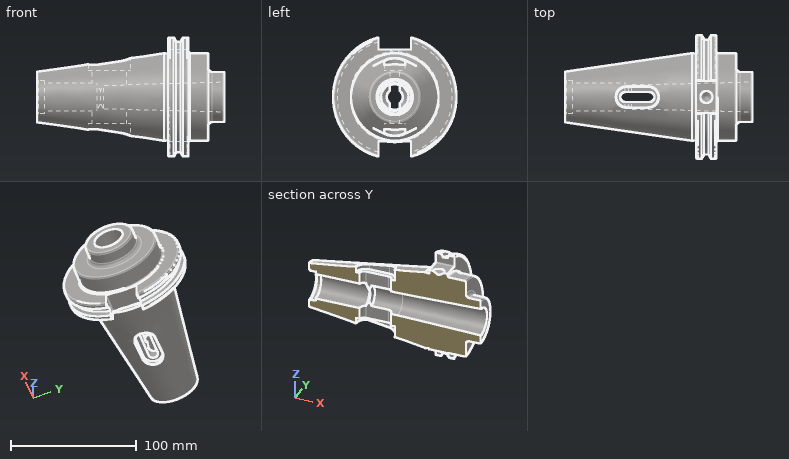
import cadquery as cq
import math

total_length = 149.4

taper_length = 101.3
taper_large_diameter = 69.9
taper_ratio = 7 / 24
taper_small_diameter = taper_large_diameter - taper_length * taper_ratio
taper_end_fillet = 0.9
neck_diameter = 69.3
neck_start = 102.6
neck_root_fillet = 0.5

flange_start = 104.4
flange_end = 120.7
flange_diameter = 98.4
flange_fillet = 1.3
groove_floor_diameter = 91.5
groove_floor_width = 3.5
groove_flank_angle = 30.0
groove_center = (flange_start + flange_end) / 2

body_end = 136.4
body_diameter = 69.9
body_fillet = 1.0
spigot_diameter = 40.0
spigot_root_fillet = 3.0
spigot_end_fillet = 1.3

drive_slot_width = 25.7
upper_slot_floor = 37.8
lower_slot_floor = 35.2
drive_slot_fillet = 0.5
land_chamfer = 0.6
dimple_diameter = 9.5

entry_diameter = 26.1
entry_depth = 6.0
entry_chamfer = 1.3
draw_bore_diameter = 22.0
draw_bore_depth = 47.8

socket_mouth_diameter = 23.9
socket_diameter = 20.2
socket_taper_length = 72.3

drill_point_angle = 118.0
breakthrough_diameter = 12.5

cross_slot_center = 57.6
cross_slot_length = 27.2
cross_slot_width = 7.6
pocket_length = 33.5
pocket_width = 16.3
pocket_floor = 21.2
pocket_chamfer = 0.5

pick_margin = 0.1


def drill_point_length(diameter):
    return diameter / 2 / math.tan(math.radians(drill_point_angle / 2))


def revolve_about_x(profile):
    return profile.close().revolve(360, (0, 0, 0), (1, 0, 0))


def make_outer_body():
    """Outer taper, neck, flange, body and spigot in one revolved solid."""
    flange_radius = flange_diameter / 2
    groove_floor_radius = groove_floor_diameter / 2
    floor_half = groove_floor_width / 2
    flank_run = (flange_radius - groove_floor_radius) * math.tan(math.radians(groove_flank_angle))
    mouth_half = floor_half + flank_run
    profile = (
        cq.Workplane("XY")
        .moveTo(0, 0)
        .lineTo(0, taper_small_diameter / 2)
        .lineTo(taper_length, taper_large_diameter / 2)
        .lineTo(neck_start, neck_diameter / 2)
        .lineTo(flange_start, neck_diameter / 2)
        .lineTo(flange_start, flange_radius)
        .lineTo(groove_center - mouth_half, flange_radius)
        .lineTo(groove_center - floor_half, groove_floor_radius)
        .lineTo(groove_center + floor_half, groove_floor_radius)
        .lineTo(groove_center + mouth_half, flange_radius)
        .lineTo(flange_end, flange_radius)
        .lineTo(flange_end, body_diameter / 2)
        .lineTo(body_end, body_diameter / 2)
        .lineTo(body_end, spigot_diameter / 2)
        .lineTo(total_length, spigot_diameter / 2)
        .lineTo(total_length, 0)
    )
    return revolve_about_x(profile)


def box_around_circle(x, reach):
    """Selector for whole edges near the given X that stay within reach of the axis."""
    return cq.selectors.BoxSelector(
        (x - pick_margin, -reach, -reach), (x + pick_margin, reach, reach), boundingbox=True
    )


def fillet_circle(solid, x, diameter, fillet):
    """Round the circular edge of the given diameter that lies at the given X."""
    outer_box = box_around_circle(x, diameter / 2 + pick_margin)
    inner_box = box_around_circle(x, diameter / 2 - pick_margin)
    return solid.edges(outer_box - inner_box).fillet(fillet)


def make_bores():
    """Stepped bore from the narrow end joined to the socket from the spigot end."""
    entry_radius = entry_diameter / 2
    draw_radius = draw_bore_diameter / 2
    socket_radius = socket_diameter / 2
    break_radius = breakthrough_diameter / 2
    break_x = draw_bore_depth + drill_point_length(draw_bore_diameter - breakthrough_diameter)
    socket_bottom = break_x + drill_point_length(socket_diameter - breakthrough_diameter)
    profile = (
        cq.Workplane("XY")
        .moveTo(0, 0)
        .lineTo(0, entry_radius + entry_chamfer)
        .lineTo(entry_chamfer, entry_radius)
        .lineTo(entry_depth, entry_radius)
        .lineTo(entry_depth, draw_radius)
        .lineTo(draw_bore_depth, draw_radius)
        .lineTo(break_x, break_radius)
        .lineTo(socket_bottom, socket_radius)
        .lineTo(total_length - socket_taper_length, socket_radius)
        .lineTo(total_length, socket_mouth_diameter / 2)
        .lineTo(total_length, 0)
    )
    return revolve_about_x(profile)


def make_drive_slot(floor, side):
    """Tool that clears one driving slot; side is +1 above the axis and -1 below.

    The floor corners are rounded and the rims are bevelled where they meet the flange lands.
    """
    half_width = drive_slot_width / 2
    rim_y = half_width + land_chamfer
    rim_z = math.sqrt((flange_diameter / 2) ** 2 - rim_y ** 2)
    clearance = flange_diameter / 2 - rim_z
    profile = [
        (-half_width, floor),
        (half_width, floor),
        (half_width, rim_z - land_chamfer),
        (rim_y + clearance, rim_z + clearance),
        (-rim_y - clearance, rim_z + clearance),
        (-half_width, rim_z - land_chamfer),
    ]
    floor_corners = cq.selectors.BoxSelector(
        (flange_start, -drive_slot_width, floor - drive_slot_fillet),
        (flange_end, drive_slot_width, floor + drive_slot_fillet),
    )
    slot = (
        cq.Workplane("YZ")
        .workplane(offset=flange_start)
        .polyline(profile)
        .close()
        .extrude(flange_end - flange_start)
        .edges("|X")
        .edges(floor_corners)
        .fillet(drive_slot_fillet)
    )
    return slot if side > 0 else slot.mirror("XY")


def make_dimple():
    """Conical drill point in the floor of the upper driving slot."""
    depth = drill_point_length(dimple_diameter)
    cone = cq.Solid.makeCone(
        dimple_diameter / 2, 0, depth, cq.Vector(groove_center, 0, upper_slot_floor), cq.Vector(0, 0, -1)
    )
    return cq.Workplane(obj=cone)


def make_slot_prism(length, width, bottom, top):
    return (
        cq.Workplane("XY")
        .workplane(offset=bottom)
        .center(cross_slot_center, 0)
        .slot2D(length, width)
        .extrude(top - bottom)
    )


outer_circles = [
    (0, taper_small_diameter, taper_end_fillet),
    (flange_start, neck_diameter, neck_root_fillet),
    (flange_start, flange_diameter, flange_fillet),
    (flange_end, flange_diameter, flange_fillet),
    (flange_end, body_diameter, body_fillet),
    (body_end, body_diameter, body_fillet),
    (body_end, spigot_diameter, spigot_root_fillet),
    (total_length, spigot_diameter, spigot_end_fillet),
]

adapter = make_outer_body()
for circle_x, circle_diameter, circle_fillet in outer_circles:
    adapter = fillet_circle(adapter, circle_x, circle_diameter, circle_fillet)

pocket_reach = taper_large_diameter / 2
for bottom, top in [(pocket_floor, pocket_reach), (-pocket_reach, -pocket_floor)]:
    adapter = adapter.cut(make_slot_prism(pocket_length, pocket_width, bottom, top))

taper_face = adapter.faces(cq.selectors.NearestToPointSelector((cross_slot_center, pocket_reach, 0)))
rims = taper_face.edges(
    cq.selectors.BoxSelector(
        (cross_slot_center - pocket_length, -pocket_width, -pocket_reach),
        (cross_slot_center + pocket_length, pocket_width, pocket_reach),
    )
)
adapter = rims.chamfer(pocket_chamfer)

adapter = adapter.cut(make_bores())
adapter = adapter.cut(make_slot_prism(cross_slot_length, cross_slot_width, -pocket_reach, pocket_reach))
adapter = adapter.cut(make_drive_slot(upper_slot_floor, 1))
adapter = adapter.cut(make_drive_slot(lower_slot_floor, -1))
adapter = adapter.cut(make_dimple())

result = adapter